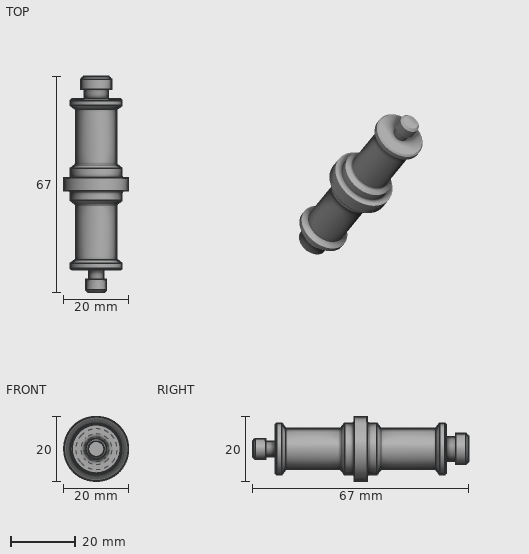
import cadquery as cq

tolerance = 0.01

length = 67.0
end = length / 2

collar_radius = 20.0 / 2
collar_half_width = 2.0
hub_radius = 16.0 / 2
hub_half_length = 4.95
collar_fillet = 0.5

barrel_radius = 6.35
hub_cone_length = 1.2
flange_cone_length = 1.2
barrel_fillet = 0.55

flange_face = 26.5
flange_back = 24.5
flange_chamfer = 0.5

head_length = 4.0
head_base = end - head_length
large_neck_radius = 7.6 / 2
large_head_radius = 9.6 / 2
large_chamfer = 0.95
small_neck_radius = 4.75 / 2
small_head_radius = 6.35 / 2
small_chamfer = 0.75


def body_half():
    """Collar-to-flange (radius, position) points on the +Y half."""
    return [
        (collar_radius, collar_half_width),
        (hub_radius, collar_half_width),
        (hub_radius, hub_half_length),
        (barrel_radius, hub_half_length + hub_cone_length),
        (barrel_radius, flange_back - flange_cone_length),
        (hub_radius, flange_back),
        (hub_radius, flange_face - flange_chamfer),
        (hub_radius - flange_chamfer, flange_face),
    ]


def stud(neck_radius, head_radius, chamfer):
    """Stud (radius, position) points from the flange face to the axis."""
    return [
        (neck_radius, flange_face),
        (neck_radius, head_base),
        (head_radius, head_base),
        (head_radius, end - chamfer),
        (head_radius - chamfer, end),
        (0, end),
    ]


def mirrored(points):
    """The same points reflected to -Y, in reverse order."""
    return [(radius, -position) for radius, position in reversed(points)]


def fillet_corners(solid, radius, position, fillet):
    """Round the circular edges of a given radius at +position and -position."""
    edges = solid.edges("%CIRCLE").filter(
        lambda edge: abs(edge.radius() - radius) < tolerance
        and abs(abs(edge.Center().y) - position) < tolerance
    )
    return edges.fillet(fillet)


large_stud = stud(large_neck_radius, large_head_radius, large_chamfer)
small_stud = stud(small_neck_radius, small_head_radius, small_chamfer)
profile = mirrored(body_half() + small_stud) + body_half() + large_stud

result = cq.Workplane("XY").polyline(profile).close().revolve(360, (0, 0, 0), (0, 1, 0))

result = fillet_corners(result, hub_radius, collar_half_width, collar_fillet)
result = fillet_corners(result, barrel_radius, hub_half_length + hub_cone_length, barrel_fillet)